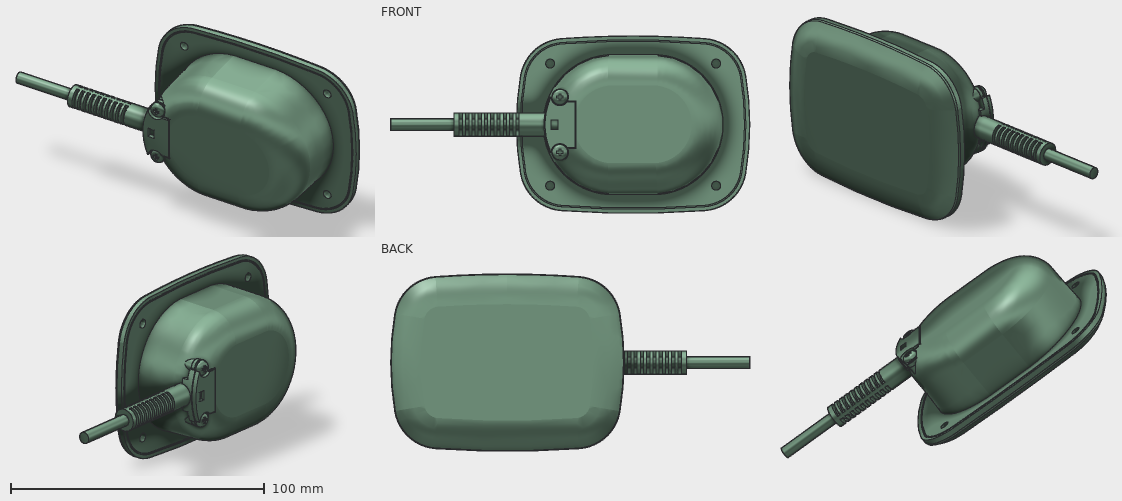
import cadquery as cq
import math


overall_length = 141.5

flange_half_length = 46.0
flange_half_width = 35.0
end_radius = 116.0
long_side_radius = 385.0
corner_radius = 17.7
cap_height = 7.2
rim_height = 2.3
band_top = 3.1
band_inset = 0.3
crown_inset = 12.0
rim_groove_inset = 1.5
rim_groove_width = 0.5
rim_groove_depth = 0.5
mount_hole_diameter = 3.5
mount_hole_depth = 4.2
mount_hole_x = 32.7
mount_hole_z = 24.0

housing_half_length = 35.5
housing_half_width = 27.6
housing_half_flat = 9.8
housing_depth = 28.7
housing_draft = 1.5
housing_edge_radius = 11.9

cable_axis_y = -21.7
cable_diameter = 4.7
cable_end_x = flange_half_length - overall_length
relief_diameter = 9.2
relief_start_x = -70.6
relief_end_x = -26.9
slot_count = 10
slot_start_x = -68.5
slot_pitch = 2.48
slot_width = 1.3
slot_web = 1.7

clamp_half_length = 35.1
clamp_inner_x = -23.0
clamp_half_width = 8.9
clamp_ledge_half_width = 10.6
clamp_bottom_depth = 24.0
clamp_step_depth = 26.8
clamp_step_inset = 0.4
clamp_gap = 0.4
clamp_gap_depth = 0.8
saddle_half_width = 6.8
saddle_inner_x = -32.1
window_start_x = -32.3
window_length = 2.7
window_width = 3.8
window_floor_diameter = 11.3

screw_x = -28.9
screw_z = 10.9
screw_boss_radius = 3.0
screw_lug_radius = 3.1
screw_boss_start_depth = 14.2
screw_seat_depth = 25.8
screw_clearance_radius = 3.4
screw_neck_radius = 2.1
screw_head_radius = 3.1
screw_head_start_depth = 26.5
screw_head_end_depth = 28.5
screw_head_fillet = 1.7
recess_length = 2.5
recess_width = 0.8
recess_depth = 1.1


def at_depth(depth):
    """Workplane parallel to the flange, facing -Y, at a depth below the mounting face."""
    return cq.Workplane("XZ", origin=(0, -depth, 0))


def flange_outline(workplane, inset=0.0):
    """Closed outline of four bowed sides joined by tangent corner arcs, offset inward."""
    end_center = flange_half_length - end_radius
    side_center = flange_half_width - long_side_radius
    span = math.hypot(end_center, side_center)
    end_reach = end_radius - corner_radius
    side_reach = long_side_radius - corner_radius
    along = (end_reach**2 - side_reach**2 + span**2) / (2 * span)
    across = math.sqrt(end_reach**2 - along**2)
    ux = -end_center / span
    uz = side_center / span
    corner_x = end_center + along * ux - across * uz
    corner_z = along * uz + across * ux

    end_angle = math.atan2(corner_z, corner_x - end_center)
    side_angle = math.atan2(corner_z - side_center, corner_x)
    middle_angle = (end_angle + side_angle) / 2
    radius = corner_radius - inset

    def corner_point(angle, sign_x, sign_z):
        x = corner_x + radius * math.cos(angle)
        z = corner_z + radius * math.sin(angle)
        return (sign_x * x, sign_z * z)

    half_x = flange_half_length - inset
    half_z = flange_half_width - inset
    top_angle = (side_angle + math.pi / 2) / 2
    top_radius = long_side_radius - inset
    top_x = top_radius * math.cos(top_angle)
    top_z = side_center + top_radius * math.sin(top_angle)
    return (
        workplane.moveTo(0, half_z)
        .threePointArc((top_x, top_z), corner_point(side_angle, 1, 1))
        .threePointArc(corner_point(middle_angle, 1, 1), corner_point(end_angle, 1, 1))
        .threePointArc((half_x, 0), corner_point(end_angle, 1, -1))
        .threePointArc(corner_point(middle_angle, 1, -1), corner_point(side_angle, 1, -1))
        .threePointArc((0, -half_z), corner_point(side_angle, -1, -1))
        .threePointArc(corner_point(middle_angle, -1, -1), corner_point(end_angle, -1, -1))
        .threePointArc((-half_x, 0), corner_point(end_angle, -1, 1))
        .threePointArc(corner_point(middle_angle, -1, 1), corner_point(side_angle, -1, 1))
        .threePointArc((-top_x, top_z), (0, half_z))
        .close()
    )


def housing_outline(workplane, half_length, half_width):
    """Oval with two straight sides and two arc ends."""
    flat = housing_half_flat
    return (
        workplane.moveTo(-flat, half_width)
        .lineTo(flat, half_width)
        .threePointArc((half_length, 0), (flat, -half_width))
        .lineTo(-flat, -half_width)
        .threePointArc((-half_length, 0), (-flat, half_width))
        .close()
    )


def make_flange():
    plate = flange_outline(at_depth(0)).extrude(-cap_height)

    margin = 1.4
    rise = cap_height - band_top
    run = crown_inset - band_inset
    crown_radius = (rise**2 + run**2) / (2 * rise)
    half_angle = math.asin(run / crown_radius) / 2
    edge_z = flange_half_width
    mid_z = edge_z - crown_inset + crown_radius * math.sin(half_angle)
    mid_y = cap_height - crown_radius * (1 - math.cos(half_angle))
    waste = (
        cq.Workplane("YZ")
        .moveTo(rim_height, edge_z)
        .lineTo(band_top, edge_z - band_inset)
        .threePointArc((mid_y, mid_z), (cap_height, edge_z - crown_inset))
        .lineTo(cap_height + margin, edge_z - crown_inset)
        .lineTo(cap_height + margin, edge_z + margin)
        .lineTo(rim_height, edge_z + margin)
        .close()
        .sweep(flange_outline(at_depth(0)))
    )
    plate = plate.cut(waste)

    groove = flange_outline(at_depth(0), rim_groove_inset).extrude(-rim_groove_depth)
    island = flange_outline(at_depth(0), rim_groove_inset + rim_groove_width).extrude(-rim_groove_depth)
    holes = (
        at_depth(0)
        .rect(2 * mount_hole_x, 2 * mount_hole_z, forConstruction=True)
        .vertices()
        .circle(mount_hole_diameter / 2)
        .extrude(-mount_hole_depth)
    )
    return plate.cut(groove.cut(island)).cut(holes)


def make_housing():
    return (
        housing_outline(at_depth(0), housing_half_length, housing_half_width)
        .extrude(housing_depth, taper=housing_draft)
        .faces("<Y")
        .edges()
        .fillet(housing_edge_radius)
    )


def wall_slab(start_depth, end_depth, inset=0.0):
    """Slab between two depths that fills the housing outline at the clamp."""
    shrink = housing_half_length - clamp_half_length + inset
    outline = housing_outline(
        at_depth(start_depth), housing_half_length - shrink, housing_half_width - shrink
    )
    return outline.extrude(end_depth - start_depth)


def block(start_x, end_x, half_width, start_depth, end_depth):
    """Box symmetric about Z = 0 between two X positions and two depths."""
    return (
        at_depth(start_depth)
        .center((start_x + end_x) / 2, 0)
        .rect(end_x - start_x, 2 * half_width)
        .extrude(end_depth - start_depth)
    )


def screw_cylinders(radius, start_depth, end_depth):
    """One cylinder on each of the two screw axes."""
    return (
        at_depth(start_depth)
        .pushPoints([(screw_x, screw_z), (screw_x, -screw_z)])
        .circle(radius)
        .extrude(end_depth - start_depth)
    )


def add_clamp(body):
    outer_x = -housing_half_length
    gap = block(
        outer_x, clamp_inner_x + clamp_gap, clamp_half_width + clamp_gap,
        housing_depth - clamp_gap_depth, housing_depth,
    )
    clearance = screw_cylinders(screw_clearance_radius, screw_seat_depth, housing_depth)
    body = body.cut(gap).cut(clearance)

    lower_slab = wall_slab(clamp_bottom_depth, clamp_step_depth).intersect(
        block(outer_x, clamp_inner_x, clamp_half_width, clamp_bottom_depth, clamp_step_depth)
        .union(block(outer_x, screw_x, screw_z, clamp_bottom_depth, clamp_step_depth))
    )
    upper_slab = wall_slab(clamp_step_depth, housing_depth, clamp_step_inset).intersect(
        block(outer_x, clamp_inner_x, clamp_half_width, clamp_step_depth, housing_depth)
        .union(block(outer_x, screw_x, clamp_ledge_half_width, clamp_step_depth, housing_depth))
    )
    saddle = wall_slab(-cable_axis_y, clamp_bottom_depth).intersect(
        block(outer_x, saddle_inner_x, saddle_half_width, -cable_axis_y, clamp_bottom_depth)
    )
    window = block(
        window_start_x, window_start_x + window_length, window_width / 2,
        -cable_axis_y, housing_depth,
    ).cut(along_cable(window_floor_diameter, outer_x, relief_end_x))
    clamp = lower_slab.union(upper_slab).union(saddle).cut(clearance)
    bosses = screw_cylinders(screw_boss_radius, screw_boss_start_depth, clamp_bottom_depth)
    lugs = screw_cylinders(screw_lug_radius, clamp_bottom_depth, screw_seat_depth)
    return body.union(clamp).union(bosses).union(lugs).cut(window)


def make_screws():
    necks = screw_cylinders(screw_neck_radius, clamp_bottom_depth, screw_head_start_depth)
    heads = (
        screw_cylinders(screw_head_radius, screw_head_start_depth, screw_head_end_depth)
        .faces("<Y")
        .edges()
        .fillet(screw_head_fillet)
    )
    centers = [(screw_x, screw_z), (screw_x, -screw_z)]
    recess_plane = at_depth(screw_head_end_depth - recess_depth).pushPoints(centers)
    upright = recess_plane.rect(recess_width, recess_length).extrude(recess_depth)
    level = recess_plane.rect(recess_length, recess_width).extrude(recess_depth)
    return heads.cut(upright).cut(level).union(necks)


def along_cable(diameter, start_x, end_x):
    """Cylinder on the cable axis between two X positions."""
    return (
        cq.Workplane("YZ", origin=(start_x, cable_axis_y, 0))
        .circle(diameter / 2)
        .extrude(end_x - start_x)
    )


def make_cable():
    relief = along_cable(relief_diameter, relief_start_x, relief_end_x)
    for index in range(slot_count):
        start_x = slot_start_x + index * slot_pitch
        ring = along_cable(relief_diameter, start_x, start_x + slot_width)
        web = cq.Workplane("XY").box(slot_width, slot_web, relief_diameter)
        web = web.translate((start_x + slot_width / 2, cable_axis_y, 0))
        relief = relief.cut(ring.cut(web))
    return relief.union(along_cable(cable_diameter, cable_end_x, relief_end_x))


result = make_flange().union(make_housing())
result = add_clamp(result)
result = result.union(make_screws()).union(make_cable())